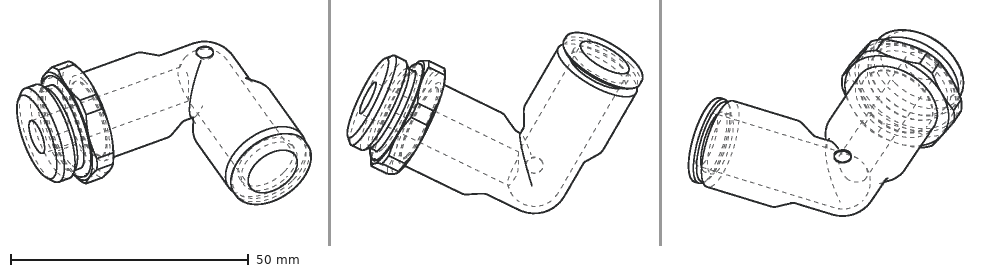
import cadquery as cq
import math


elbow_radius = 7.35
stem_bore_radius = 3.65
socket_bore_radius = 5.8

body_radius = 9.5
shoulder_length = 4.0
shoulder_blend_radius = 1.4

stem_shoulder_start = 8.1
stem_body_end = 27.3
neck_radius = 8.3
neck_length = 0.3

hex_across_flats = 24.0
hex_corner_diameter = 26.0
hex_thickness = 5.0
hex_chamfer_angle = 30.0

thread_end = 39.65
thread_radius = 10.5
groove_radius = 9.3
thread_chamfer = thread_radius - groove_radius
thread_length = 4.9
seal_section_radius = 1.0
seal_ring_radius = 10.25

socket_shoulder_start = 9.1
socket_body_end = 28.3
collar_radius = 6.6
collar_flange_start = 29.78
collar_flange_radius = 9.26
collar_flange_chamfer = 0.5
collar_flange_fillet = 0.45
socket_end = 31.58

recess_radius = 1.8
recess_depth = 0.4

stem_axis = cq.Vector(0, -1, 0)
socket_axis = cq.Vector(1, 0, 0)


def cylinder(axis, radius, start, end):
    return cq.Workplane(cq.Solid.makeCylinder(radius, end - start, axis * start, axis))


def cone(axis, start_radius, end_radius, start, end):
    return cq.Workplane(cq.Solid.makeCone(start_radius, end_radius, end - start, axis * start, axis))


def sphere(radius):
    return cq.Workplane("XY").sphere(radius)


def make_arm(axis, shoulder_start, body_end):
    """Elbow-sized pipe that widens over a blended shoulder to the body."""
    shoulder_end = shoulder_start + shoulder_length
    pipe = cylinder(axis, elbow_radius, 0, shoulder_start)
    shoulder = cone(axis, elbow_radius, body_radius, shoulder_start, shoulder_end)
    body = cylinder(axis, body_radius, shoulder_end, body_end)
    arm = pipe.union(shoulder).union(body)
    for corner in (shoulder_start, shoulder_end):
        corner_centre = axis * corner
        corner_edge = arm.edges(cq.NearestToPointSelector(corner_centre.toTuple()))
        arm = corner_edge.fillet(shoulder_blend_radius)
    return arm


def make_hex_nut(start):
    """Hexagon with turned corners and a chamfer on both faces."""
    end = start + hex_thickness
    across_corners = hex_across_flats / math.cos(math.radians(30))
    hexagon = (
        cq.Workplane("XZ", origin=(0, -start, 0))
        .polygon(6, across_corners)
        .extrude(hex_thickness)
    )
    corner_radius = hex_corner_diameter / 2
    face_radius = hex_across_flats / 2
    chamfer_height = (corner_radius - face_radius) * math.tan(math.radians(hex_chamfer_angle))
    turned_blank = (
        cq.Workplane("XY")
        .moveTo(0, -start)
        .lineTo(face_radius, -start)
        .lineTo(corner_radius, -start - chamfer_height)
        .lineTo(corner_radius, -end + chamfer_height)
        .lineTo(face_radius, -end)
        .lineTo(0, -end)
        .close()
        .revolve(360, (0, 0, 0), (0, 1, 0))
    )
    return hexagon.intersect(turned_blank)


def make_seal_ring(hex_face):
    """Sealing ring, half sunk into the end face of the hex nut."""
    return (
        cq.Workplane("XY")
        .center(seal_ring_radius, -hex_face)
        .circle(seal_section_radius)
        .revolve(360, (-seal_ring_radius, 0, 0), (-seal_ring_radius, 1, 0))
    )


def make_threaded_end(hex_face):
    """Undercut, plain thread cylinder and lead-in chamfer."""
    thread_start = thread_end - thread_length
    crest_start = thread_start + thread_chamfer
    crest_end = thread_end - thread_chamfer
    undercut = cylinder(stem_axis, groove_radius, hex_face, thread_start)
    run_out = cone(stem_axis, groove_radius, thread_radius, thread_start, crest_start)
    crest = cylinder(stem_axis, thread_radius, crest_start, crest_end)
    lead_in = cone(stem_axis, thread_radius, groove_radius, crest_end, thread_end)
    return undercut.union(run_out).union(crest).union(lead_in)


def make_stem():
    hex_start = stem_body_end + neck_length
    hex_face = hex_start + hex_thickness
    stem = make_arm(stem_axis, stem_shoulder_start, stem_body_end)
    neck = cylinder(stem_axis, neck_radius, stem_body_end, hex_start)
    return (
        stem.union(neck)
        .union(make_hex_nut(hex_start))
        .union(make_seal_ring(hex_face))
        .union(make_threaded_end(hex_face))
    )


def make_release_collar():
    sleeve = cylinder(socket_axis, collar_radius, socket_body_end, collar_flange_start)
    flange = (
        cylinder(socket_axis, collar_flange_radius, collar_flange_start, socket_end)
        .faces("<X").edges().chamfer(collar_flange_chamfer)
        .faces(">X").edges().fillet(collar_flange_fillet)
    )
    return sleeve.union(flange)


def make_socket():
    arm = make_arm(socket_axis, socket_shoulder_start, socket_body_end)
    return arm.union(make_release_collar())


def make_bore():
    """Wide socket bore ending in a ball-shaped corner, met by the narrower stem bore."""
    stem_bore = cylinder(stem_axis, stem_bore_radius, 0, thread_end)
    socket_bore = cylinder(socket_axis, socket_bore_radius, 0, socket_end)
    return stem_bore.union(socket_bore).union(sphere(socket_bore_radius))


def make_recess():
    floor = elbow_radius - recess_depth
    return cylinder(cq.Vector(0, 0, 1), recess_radius, floor, elbow_radius + recess_depth)


outside = make_stem().union(make_socket()).union(sphere(elbow_radius))
result = outside.cut(make_bore()).cut(make_recess())